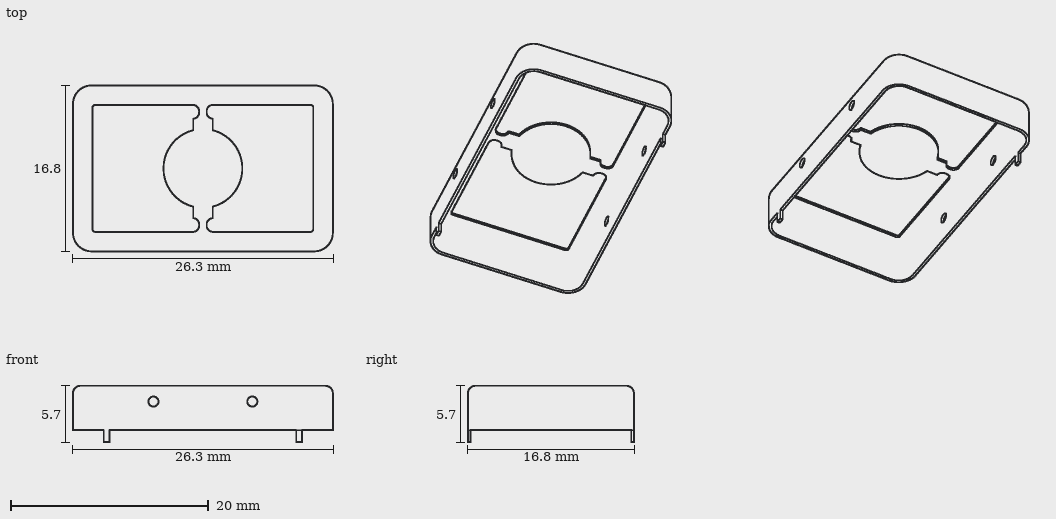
import cadquery as cq
import math

length = 26.3
width = 16.8
total_height = 5.7
pin_drop = 1.2
height = total_height - pin_drop
wall = 0.3
corner_radius = 1.92
top_radius = 0.8

border = 2.0
window_length = length - 2 * border
window_width = width - 2 * border
window_corner_radius = 0.25

disc_diameter = 8.0
tab_half_width = 1.0
notch_radius = 0.6
neck_length = 0.15

hole_diameter = 1.0
hole_spacing = 10.0
hole_depth_from_top = 1.6
pin_width = 0.6
pin_offset = 9.73


def rounded_block(size_x, size_y, size_z, side_radius, upper_radius):
    """Block standing on z = 0 with rounded vertical corners and top rim."""
    block = cq.Workplane("XY").box(size_x, size_y, size_z, centered=(True, True, False))
    return block.edges("|Z").fillet(side_radius).faces(">Z").edges().fillet(upper_radius)


def make_shell():
    """Open-bottomed cover with a uniform wall."""
    outer = rounded_block(length, width, height, corner_radius, top_radius)
    inner = rounded_block(
        length - 2 * wall, width - 2 * wall, height - wall, corner_radius - wall, top_radius - wall
    )
    return outer.cut(inner)


def make_window():
    """Cutter for the rectangular opening through the top sheet."""
    window = cq.Workplane("XY").workplane(offset=height / 2).rect(window_length, window_width).extrude(height)
    return window.edges("|Z").fillet(window_corner_radius)


def make_tab():
    """Tab from the disc to the +Y border, necked by a round-ended notch on each side."""
    edge_y = window_width / 2
    border_y = edge_y + wall
    neck_top_y = edge_y - notch_radius
    neck_bottom_y = neck_top_y - neck_length
    shoulder_y = neck_bottom_y - notch_radius
    neck_half_width = tab_half_width - notch_radius
    arc_reach = notch_radius * math.sqrt(0.5)
    arc_mid_x = tab_half_width - arc_reach
    return (
        cq.Workplane("XY")
        .workplane(offset=height - wall)
        .moveTo(0, 0)
        .lineTo(tab_half_width, 0)
        .lineTo(tab_half_width, shoulder_y)
        .threePointArc((arc_mid_x, neck_bottom_y - arc_reach), (neck_half_width, neck_bottom_y))
        .lineTo(neck_half_width, neck_top_y)
        .threePointArc((arc_mid_x, neck_top_y + arc_reach), (tab_half_width, edge_y))
        .lineTo(tab_half_width, border_y)
        .lineTo(0, border_y)
        .mirrorY()
        .extrude(wall)
    )


def make_disc():
    """Round plate flush with the top face, with a tab on each side."""
    disc = cq.Workplane("XY").workplane(offset=height - wall).circle(disc_diameter / 2).extrude(wall)
    tab = make_tab()
    return disc.union(tab).union(tab.mirror("XZ"))


def make_side_holes():
    """Cutters for the round holes through both long walls."""
    hole_z = height - hole_depth_from_top
    return (
        cq.Workplane("XZ")
        .pushPoints([(-hole_spacing / 2, hole_z), (hole_spacing / 2, hole_z)])
        .circle(hole_diameter / 2)
        .extrude(width, both=True)
    )


def make_pin(side):
    """Pin continuing a long wall downwards; side is -1 or +1 for both X and Y."""
    overlap = wall
    return (
        cq.Workplane("XY")
        .box(pin_width, wall, pin_drop + overlap, centered=(True, True, False))
        .translate((side * pin_offset, side * (width - wall) / 2, -pin_drop))
    )


result = make_shell().cut(make_window()).union(make_disc()).cut(make_side_holes())
for pin_side in (-1, 1):
    result = result.union(make_pin(pin_side))